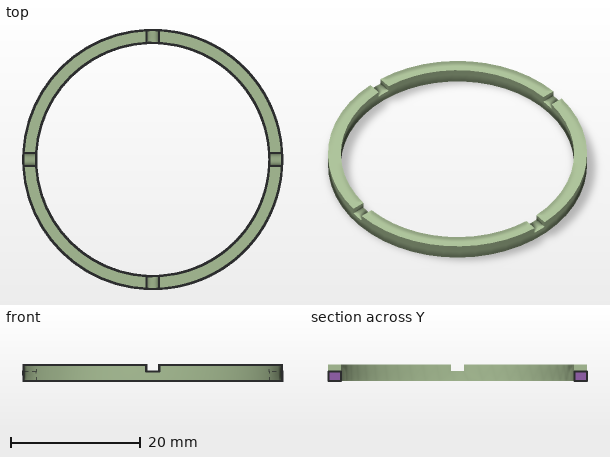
import cadquery as cq

outer_diameter = 40.0
wall_thickness = 2.0
ring_height = 2.5
notch_width = 2.0
notch_depth = 1.0

inner_diameter = outer_diameter - 2 * wall_thickness
notch_floor = ring_height - notch_depth


def plain_ring():
    """Flat ring standing on the XY plane, centred on the Z axis."""
    return (
        cq.Workplane("XY")
        .circle(outer_diameter / 2)
        .circle(inner_diameter / 2)
        .extrude(ring_height)
    )


def notch_bar(angle):
    """Bar across the whole ring that cuts two opposite notches in the top face."""
    return (
        cq.Workplane("XY")
        .workplane(offset=notch_floor)
        .rect(outer_diameter + notch_width, notch_width)
        .extrude(notch_depth)
        .rotate((0, 0, 0), (0, 0, 1), angle)
    )


result = plain_ring()
for bar_angle in (0, 90):
    result = result.cut(notch_bar(bar_angle))